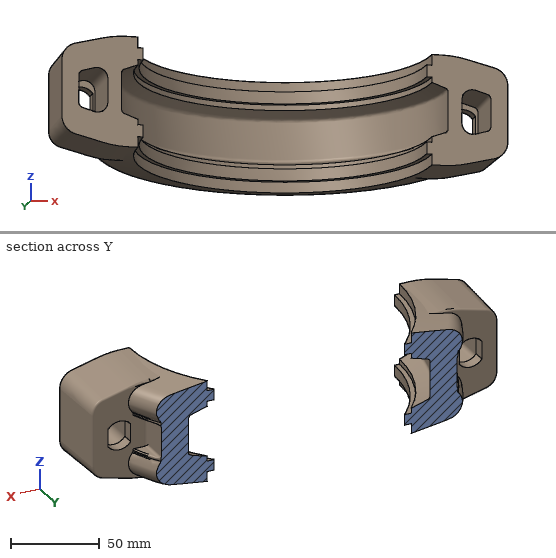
import cadquery as cq
import math


half_length = 129.3
half_width = 32.0

bore_radius = 85.3
key_radius = 82.2
key_outer_z = 25.9
key_inner_z = 19.0
channel_radius = 94.6
channel_mouth_z = 15.8
channel_slope_angle = 20.5
channel_corner_radius = 2.3

bore_allowance = 2.5

ring_radius = 112.0
ring_side_angle = 10.0
side_end_radius = 104.0
groove_half_width = 12.7
groove_fillet = 1.0

lug_height = 38.3
lug_draft = 2.0
lug_root_x = 82.7
lug_flat_end_x = 91.5
lug_curve_end_x = 105.5
lug_slope_angle = 14.0
lug_corner_radius = 10.3
lug_edge_fillet = 1.3

bolt_x = 111.0
bolt_hole_radius = 9.0
bolt_hole_width = 14.2
socket_depth = 31.0
socket_inner_x = 102.7
socket_outer_x = 119.5
socket_half_height = 13.0
socket_slope_angle = 16.0
socket_inner_corner_radius = 6.2
socket_outer_corner_radius = 3.0

nut_floor_x = 93.5
nut_half_width = 10.5
nut_floor_fillet = 1.5
nut_mouth_fillet = 0.8

TOWARD_PLUS_Y = cq.Vector(0, 1, 0)


def sine(angle):
    return math.sin(math.radians(angle))


def cosine(angle):
    return math.cos(math.radians(angle))


def tangent(angle):
    return math.tan(math.radians(angle))


def plane_facing_y(y):
    """Plane across Y at the given height; its local axes are X and -Z."""
    return cq.Workplane(cq.Plane(origin=(0, y, 0), xDir=(1, 0, 0), normal=TOWARD_PLUS_Y))


def point_on_arc(center, radius, angle):
    return (center[0] + radius * cosine(angle), center[1] + radius * sine(angle))


def below(point):
    """Mirror image of a profile point across Z = 0."""
    return (point[0], -point[1])


def ring_body():
    """Half ring with its outer shape, solid in to below the bore."""
    blank_radius = key_radius - bore_allowance
    side_end_z = half_width - (side_end_radius - bore_radius) * tangent(ring_side_angle)
    side_normal_angle = 90 - ring_side_angle
    rim_radius = (ring_radius - side_end_radius) / (1 - sine(ring_side_angle))
    rim_center = (ring_radius - rim_radius, side_end_z - rim_radius * cosine(ring_side_angle))
    rim_end_angle = math.degrees(math.asin((groove_half_width - rim_center[1]) / rim_radius))

    rim_start = point_on_arc(rim_center, rim_radius, side_normal_angle)
    rim_middle = point_on_arc(rim_center, rim_radius, (side_normal_angle + rim_end_angle) / 2)
    rim_end = point_on_arc(rim_center, rim_radius, rim_end_angle)

    profile = (
        cq.Workplane("XZ")
        .moveTo(blank_radius, half_width)
        .lineTo(bore_radius, half_width)
        .lineTo(*rim_start)
        .threePointArc(rim_middle, rim_end)
        .lineTo(*below(rim_end))
        .threePointArc(below(rim_middle), below(rim_start))
        .lineTo(bore_radius, -half_width)
        .lineTo(blank_radius, -half_width)
        .close()
    )
    body = profile.revolve(180, (0, 0), (0, 1))
    margin = groove_fillet / 4
    groove_region = cq.selectors.BoxSelector(
        (-ring_radius, 0, -groove_half_width - margin),
        (ring_radius, ring_radius, groove_half_width + margin),
    )
    return body.edges("%CIRCLE").edges(groove_region).fillet(groove_fillet)


def bore_cutter():
    """Full revolution of the space inside the ring."""
    channel_corner_z = channel_mouth_z - (channel_radius - bore_radius) * tangent(channel_slope_angle)
    upper = [
        (bore_radius, half_width),
        (bore_radius, key_outer_z),
        (key_radius, key_outer_z),
        (key_radius, key_inner_z),
        (bore_radius, key_inner_z),
        (bore_radius, channel_mouth_z),
        (channel_radius, channel_corner_z),
    ]
    lower = [below(point) for point in reversed(upper)]
    outline = [(0, half_width)] + upper + lower + [(0, -half_width)]
    cutter = cq.Workplane("XZ").polyline(outline).close().revolve(360, (0, 0), (0, 1))

    corner_edges = cq.selectors.RadiusNthSelector(-1)
    return cutter.edges("%CIRCLE").edges(corner_edges).fillet(channel_corner_radius)


def lug():
    """Drafted lug on the +X side."""
    curve_radius = (lug_curve_end_x - lug_flat_end_x) / sine(lug_slope_angle)
    curve_center = (lug_flat_end_x, half_width - curve_radius)
    corner_x = half_length - lug_corner_radius
    curve_end = point_on_arc(curve_center, curve_radius, 90 - lug_slope_angle)
    curve_middle = point_on_arc(curve_center, curve_radius, 90 - lug_slope_angle / 2)

    slope_end_x = corner_x + lug_corner_radius * sine(lug_slope_angle)
    slope_end_z = curve_end[1] - (slope_end_x - curve_end[0]) * tangent(lug_slope_angle)
    corner_center = (corner_x, slope_end_z - lug_corner_radius * cosine(lug_slope_angle))
    corner_middle = point_on_arc(corner_center, lug_corner_radius, (90 - lug_slope_angle) / 2)

    outline = (
        plane_facing_y(0)
        .moveTo(lug_root_x, half_width)
        .lineTo(lug_flat_end_x, half_width)
        .threePointArc(curve_middle, curve_end)
        .lineTo(slope_end_x, slope_end_z)
        .threePointArc(corner_middle, (half_length, corner_center[1]))
        .lineTo(half_length, -corner_center[1])
        .threePointArc(below(corner_middle), (slope_end_x, -slope_end_z))
        .lineTo(*below(curve_end))
        .threePointArc(below(curve_middle), (lug_flat_end_x, -half_width))
        .lineTo(lug_root_x, -half_width)
        .close()
    )
    drafted = outline.extrude(lug_height, taper=lug_draft)
    return drafted.faces(">Y").edges().fillet(lug_edge_fillet)


def bolt_passage():
    """Socket and bolt hole through the +X lug."""
    round_center_x = socket_inner_x + socket_inner_corner_radius
    round_center_z = socket_half_height - socket_inner_corner_radius
    round_x = round_center_x + socket_inner_corner_radius * sine(socket_slope_angle)
    round_z = round_center_z + socket_inner_corner_radius * cosine(socket_slope_angle)

    def slope_z(x):
        return round_z - (x - round_x) * tangent(socket_slope_angle)

    upper = [(x, slope_z(x)) for x in (socket_inner_x, socket_outer_x)]
    lower = [below(point) for point in reversed(upper)]
    socket = plane_facing_y(0).polyline(upper + lower).close().extrude(socket_depth)
    socket = socket.faces("<X").edges("|Y").fillet(socket_inner_corner_radius)
    socket = socket.faces(">X").edges("|Y").fillet(socket_outer_corner_radius)

    bolt_axis = plane_facing_y(0).center(bolt_x, 0)
    hole = bolt_axis.circle(bolt_hole_radius).extrude(lug_height)
    flats = bolt_axis.rect(bolt_hole_width, 2 * bolt_hole_radius).extrude(lug_height)
    return socket.union(hole.intersect(flats))


def nut_clearance():
    """Flat-floored cut in the ring groove above the +X lug."""
    block = plane_facing_y(lug_height).box(
        ring_radius - nut_floor_x,
        2 * nut_half_width,
        ring_radius - lug_height,
        centered=(False, True, False),
    )
    block = block.translate((nut_floor_x, 0, 0))
    return block.faces("<X").edges("|Y or <Y").fillet(nut_floor_fillet)


def ring_with_nut_clearances():
    """Half ring with both clearances cut and their mouths rounded off into the groove."""
    ring = ring_body().cut(on_both_sides(nut_clearance()))
    mouth_edges = ring.edges("|Z").edges(">Y")
    return mouth_edges.fillet(nut_mouth_fillet)


def on_both_sides(feature):
    return feature.union(feature.mirror("YZ"))


result = (
    ring_with_nut_clearances()
    .union(on_both_sides(lug()))
    .cut(bore_cutter())
    .cut(on_both_sides(bolt_passage()))
)